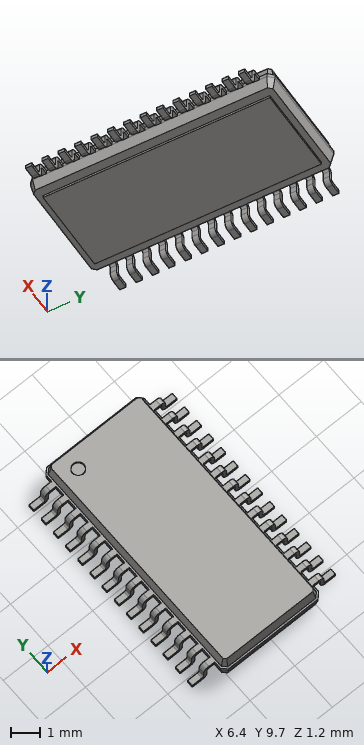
import cadquery as cq
import math

BODY_WIDTH = 4.4
BODY_LENGTH = 9.7
CORNER_CHAMFER = 0.2
BODY_BOTTOM = 0.1
BODY_TOP = 1.2
UPPER_STEP = 0.075
UPPER_BASE_TO_TOP = 0.105
LOWER_LEAN = 0.1

PAD_WIDTH = 3.5
PAD_LENGTH = 9.0

DIMPLE_DIAMETER = 0.5
DIMPLE_DEPTH = 0.1
DIMPLE_X = -1.32
DIMPLE_Y = 3.97

LEADS_PER_SIDE = 14
LEAD_PITCH = 0.65
LEAD_WIDTH = 0.25
LEAD_THICKNESS = 0.15
LEAD_SPAN = 6.4
LEAD_TOP = 0.72
SHANK_OUTER_X = 2.69
BEND_INNER_RADIUS = 0.08

BAND_BOTTOM = LEAD_TOP - LEAD_THICKNESS
BEND_OUTER_RADIUS = BEND_INNER_RADIUS + LEAD_THICKNESS
SHANK_INNER_X = SHANK_OUTER_X - LEAD_THICKNESS
EMBED_X = BODY_WIDTH / 2 - UPPER_STEP


def body_section(z, inset):
    """Chamfered rectangle at height z, offset inward evenly on all eight sides."""
    corner = CORNER_CHAMFER - inset * (2 - math.sqrt(2))
    half_x = BODY_WIDTH / 2 - inset
    half_y = BODY_LENGTH / 2 - inset
    return (
        cq.Workplane("XY", origin=(0, 0, z))
        .moveTo(half_x, corner - half_y)
        .lineTo(half_x, half_y - corner)
        .lineTo(half_x - corner, half_y)
        .lineTo(corner - half_x, half_y)
        .lineTo(-half_x, half_y - corner)
        .lineTo(-half_x, corner - half_y)
        .lineTo(corner - half_x, -half_y)
        .lineTo(half_x - corner, -half_y)
        .close()
    )


def body_slab(z_low, inset_low, z_high, inset_high):
    """Flat-sided slab joining two body sections."""
    low = body_section(z_low, inset_low).wire().val()
    high = body_section(z_high, inset_high).wire().val()
    return cq.Workplane(cq.Solid.makeLoft([low, high], True))


def make_body():
    lower = body_slab(BODY_BOTTOM, LOWER_LEAN, BAND_BOTTOM, 0)
    band = body_slab(BAND_BOTTOM, 0, LEAD_TOP, 0)
    upper = body_slab(LEAD_TOP, UPPER_STEP, BODY_TOP, UPPER_STEP + UPPER_BASE_TO_TOP)
    return lower.union(band).union(upper)


def make_pad():
    return (
        cq.Workplane("XY")
        .rect(PAD_WIDTH, PAD_LENGTH)
        .extrude(BODY_BOTTOM)
    )


def make_dimple():
    return (
        cq.Workplane("XY", origin=(DIMPLE_X, DIMPLE_Y, BODY_TOP))
        .circle(DIMPLE_DIAMETER / 2)
        .extrude(-DIMPLE_DEPTH)
    )


def make_lead(y):
    """One +X lead, centred on y: shoulder, upright shank and foot."""
    toe_x = LEAD_SPAN / 2
    shoulder_end = SHANK_OUTER_X - BEND_OUTER_RADIUS
    foot_start = SHANK_INNER_X + BEND_OUTER_RADIUS
    shoulder_bend_z = LEAD_TOP - BEND_OUTER_RADIUS
    return (
        cq.Workplane("XZ", origin=(0, y + LEAD_WIDTH / 2, 0))
        .moveTo(EMBED_X, LEAD_TOP)
        .lineTo(shoulder_end, LEAD_TOP)
        .radiusArc((SHANK_OUTER_X, shoulder_bend_z), BEND_OUTER_RADIUS)
        .lineTo(SHANK_OUTER_X, BEND_OUTER_RADIUS)
        .radiusArc((foot_start, LEAD_THICKNESS), -BEND_INNER_RADIUS)
        .lineTo(toe_x, LEAD_THICKNESS)
        .lineTo(toe_x, 0)
        .lineTo(foot_start, 0)
        .radiusArc((SHANK_INNER_X, BEND_OUTER_RADIUS), BEND_OUTER_RADIUS)
        .lineTo(SHANK_INNER_X, shoulder_bend_z)
        .radiusArc((shoulder_end, BAND_BOTTOM), -BEND_INNER_RADIUS)
        .lineTo(EMBED_X, BAND_BOTTOM)
        .close()
        .extrude(LEAD_WIDTH)
    )


def make_leads():
    """Both rows of leads, evenly pitched along Y."""
    first_y = -LEAD_PITCH * (LEADS_PER_SIDE - 1) / 2
    right_row = [make_lead(first_y + index * LEAD_PITCH).val() for index in range(LEADS_PER_SIDE)]
    left_row = [lead.mirror("YZ") for lead in right_row]
    return cq.Workplane(cq.Compound.makeCompound(right_row + left_row))


body = make_body().union(make_pad()).cut(make_dimple())
result = body.union(make_leads())